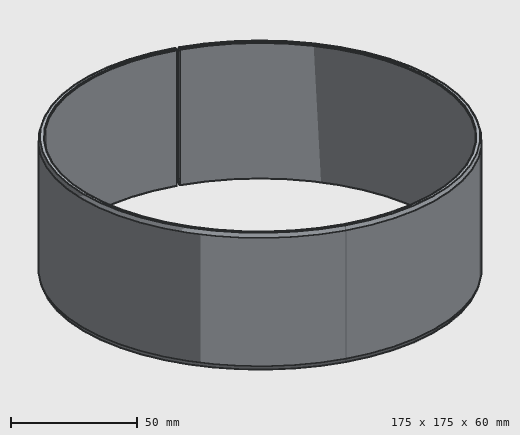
import cadquery as cq
import math

outer_diameter = 175.0
wall_thickness = 2.5
height = 60.0
gap_width = 1.5

outer_bevel_length = 2.0
outer_bevel_tilt = 20.0
inner_bevel_length = 0.5
inner_bevel_tilt = 45.0

outer_radius = outer_diameter / 2
inner_radius = outer_radius - wall_thickness


def bevel_legs(length, tilt):
    """Radial and axial size of a bevel."""
    angle = math.radians(tilt)
    return length * math.sin(angle), length * math.cos(angle)


def bevelled_ring():
    """Thin ring, centred on Z, with all four rim edges bevelled."""
    outer_radial, outer_axial = bevel_legs(outer_bevel_length, outer_bevel_tilt)
    inner_radial, inner_axial = bevel_legs(inner_bevel_length, inner_bevel_tilt)
    top = height / 2
    upper_half = [
        (outer_radius, top - outer_axial),
        (outer_radius - outer_radial, top),
        (inner_radius + inner_radial, top),
        (inner_radius, top - inner_axial),
    ]
    lower_half = [(x, -z) for x, z in reversed(upper_half)]
    wall_section = cq.Workplane("XZ").polyline(upper_half + lower_half).close()
    return wall_section.revolve(360, (0, 0), (0, 1))


def split_gap():
    """Block that opens the wall at -X, with one face on the XZ plane and the rest on its +Y side."""
    block = cq.Workplane("XY").box(outer_radius, gap_width, height, centered=(False, False, True))
    return block.translate((-outer_radius, 0, 0))


result = bevelled_ring().cut(split_gap())